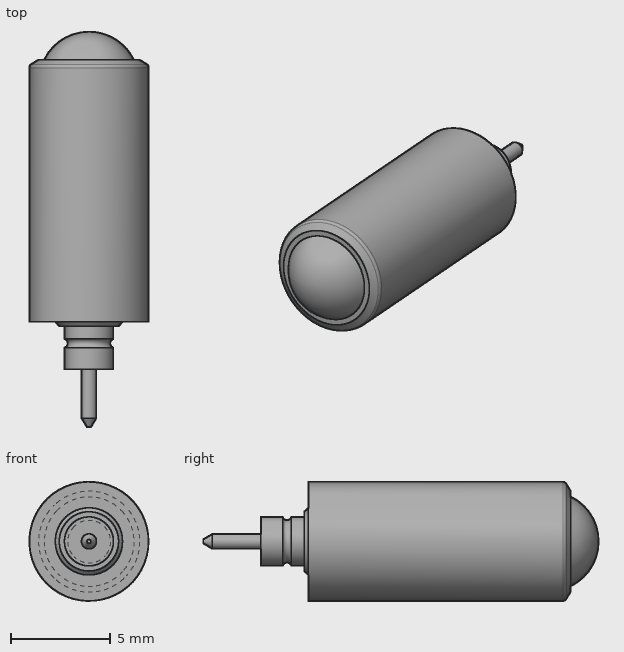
import cadquery as cq
import math

total_length = 19.9

body_radius = 3.0
body_top = 1.41
body_bottom = 14.6
rim_round = 0.2
rim_end = 1.81
bevel_angle = math.radians(58.0)
bevel_end = rim_end - rim_round * math.sin(bevel_angle)
bevel_end_radius = body_radius - rim_round * (1 - math.cos(bevel_angle))
rim_face_radius = bevel_end_radius - (bevel_end - body_top) * math.tan(bevel_angle)

ball_radius = 2.5
ball_depth = ball_radius - body_top
ball_edge_angle = math.acos(ball_depth / ball_radius)

collar_base_radius = 1.7
collar_end_radius = 1.5
collar_end = 14.83

plug_radius = 1.23
plug_end = 17.0
groove_radius = 1.07
groove_start = 15.46
groove_end = 15.9
groove_middle = (groove_start + groove_end) / 2

pin_radius = 0.38
tip_start = 19.45
tip_flat_radius = 0.1


def station(radius, distance):
    """Profile point at a radius and a distance from the top of the ball."""
    return (radius, total_length / 2 - distance)


def ball_point(angle):
    """Point on the ball at an angle from the axis."""
    return station(
        ball_radius * math.sin(angle),
        ball_radius * (1 - math.cos(angle)),
    )


def shoulder_point(angle):
    """Point on the rounded shoulder where its tangent is at an angle to the axis."""
    return station(
        body_radius - rim_round * (1 - math.cos(angle)),
        rim_end - rim_round * math.sin(angle),
    )


profile = (
    cq.Workplane("XY")
    .moveTo(*station(0, 0))
    .threePointArc(ball_point(ball_edge_angle / 2), ball_point(ball_edge_angle))
    .lineTo(*station(rim_face_radius, body_top))
    .lineTo(*station(bevel_end_radius, bevel_end))
    .threePointArc(shoulder_point(bevel_angle / 2), station(body_radius, rim_end))
    .lineTo(*station(body_radius, body_bottom))
    .lineTo(*station(collar_base_radius, body_bottom))
    .lineTo(*station(collar_end_radius, collar_end))
    .lineTo(*station(plug_radius, collar_end))
    .lineTo(*station(plug_radius, groove_start))
    .threePointArc(station(groove_radius, groove_middle), station(plug_radius, groove_end))
    .lineTo(*station(plug_radius, plug_end))
    .lineTo(*station(pin_radius, plug_end))
    .lineTo(*station(pin_radius, tip_start))
    .lineTo(*station(tip_flat_radius, total_length))
    .lineTo(*station(0, total_length))
    .close()
)

result = profile.revolve(360, (0, 0, 0), (0, 1, 0))